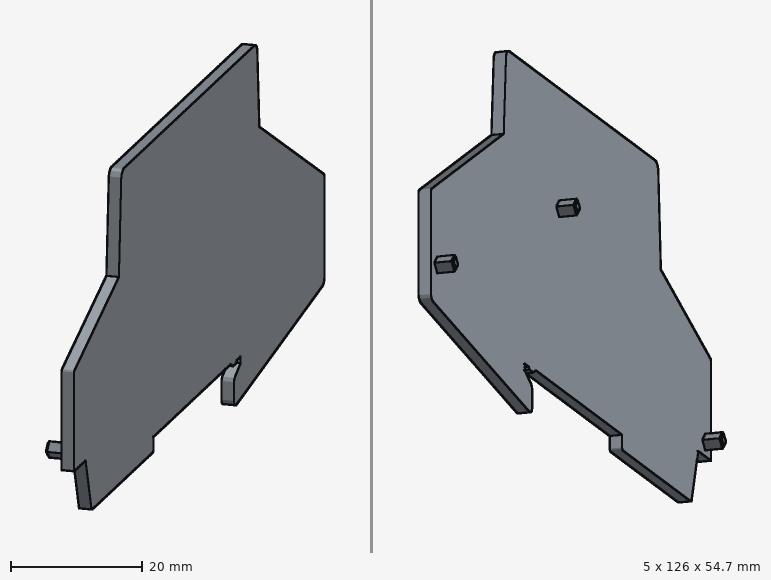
import cadquery as cq

length = 126.0
height = 54.7
total_width = 5.0
plate_thickness = 2.0

rail_height = 7.3
foot_height = 4.9
notch_height = 13.7

top_radius = 1.5
end_radius = 1.3
hook_radius = 1.1
foot_radius = 0.5

pin_diagonal = 2.6
pin_chamfer = 0.3
pin_centres = [(2.9, 12.3), (57.7, 35.6), (123.3, 16.0)]

pin_length = total_width - plate_thickness
plate_face_x = pin_length - total_width / 2


def locate(along, up):
    """Convert distance from the +Y end and height above the base to (Y, Z)."""
    return length / 2 - along, up - height / 2


outline = [
    (0, 23.5, 0.8),
    (32.7, 40.9, 0),
    (33.9, height, top_radius),
    (102.2, height, top_radius),
    (103.4, 38.0, 0),
    (length, 29.7, 0.5),
    (length, notch_height, 0),
    (120.2, notch_height, 0),
    (117.1, foot_height, foot_radius),
    (85.9, foot_height, foot_radius),
    (85.9, rail_height, 0),
    (47.1, rail_height, 0),
    (46.1, 6.7, 0),
    (44.5, 6.7, 0),
    (44.0, 7.0, 0),
    (42.2, 7.0, 0),
    (42.2, 6.0, 0),
    (45.6, 4.4, hook_radius),
    (45.6, 0, hook_radius),
    (44.3, 0, 0),
    (0, 6.2, end_radius),
]


def make_plate():
    points = [locate(along, up) for along, up, _ in outline]
    plate = (
        cq.Workplane("YZ", origin=(plate_face_x, 0, 0))
        .polyline(points)
        .close()
        .extrude(plate_thickness)
    )
    for (y, z), (_, _, radius) in zip(points, outline):
        if radius > 0:
            corner = cq.selectors.NearestToPointSelector((plate_face_x + plate_thickness / 2, y, z))
            plate = plate.edges("|X").edges(corner).fillet(radius)
    return plate


def make_pin(along, up):
    """Square pin with its corners along Y and Z, reaching from the plate face to the -X limit."""
    y, z = locate(along, up)
    return (
        cq.Workplane("YZ", origin=(plate_face_x - pin_length, y, z))
        .polygon(4, pin_diagonal)
        .extrude(pin_length)
        .faces("<X")
        .chamfer(pin_chamfer)
    )


result = make_plate()
for pin_along, pin_up in pin_centres:
    result = result.union(make_pin(pin_along, pin_up))